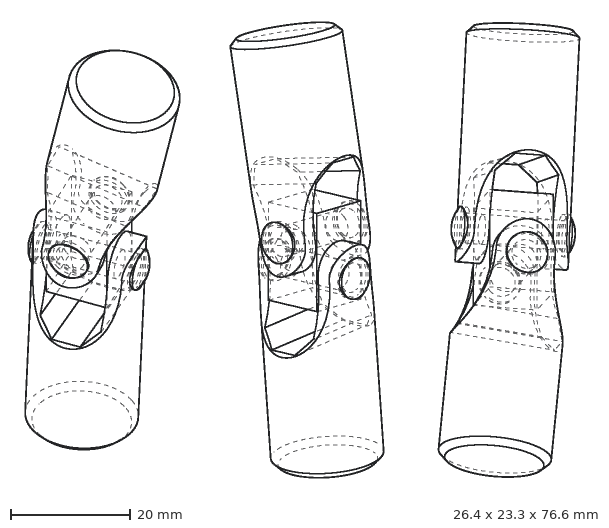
import cadquery as cq
import math


yoke_radius = 19.1 / 2
yoke_length = 34.3
end_chamfer = 1.15
arm_half_width = 5.1
arm_tip_offset = 0.7
shoulder_height = 12.95
slot_depth = 12.3
slot_corner = 2.9
upper_tilt = 11.1
lower_tilt = 5.5

block_width = 11.0
block_height = 17.1
pin_spacing = 6.35

head_radius = 7.1 / 2
head_seat = 8.4
head_rim = 9.35
pin_half_length = 21.2 / 2
shank_radius = 2.5

tip_end = arm_tip_offset + arm_half_width


def make_pin():
    """Pin along Y with a domed head at each end."""
    dome_rise = pin_half_length - head_rim
    dome_radius = (head_radius**2 + dome_rise**2) / (2 * dome_rise)
    half_angle = math.asin(head_radius / dome_radius) / 2
    dome_x = dome_radius * math.sin(half_angle)
    dome_y = pin_half_length - dome_radius * (1 - math.cos(half_angle))
    return (
        cq.Workplane("XY")
        .moveTo(0, -pin_half_length)
        .threePointArc((dome_x, -dome_y), (head_radius, -head_rim))
        .lineTo(head_radius, -head_seat)
        .lineTo(shank_radius, -head_seat)
        .lineTo(shank_radius, head_seat)
        .lineTo(head_radius, head_seat)
        .lineTo(head_radius, head_rim)
        .threePointArc((dome_x, dome_y), (0, pin_half_length))
        .close()
        .revolve(360, (0, 0, 0), (0, 1, 0))
    )


def make_pin_hole():
    """Pin-shaped cutter along Y whose head pockets run out through the surface."""
    hole = cq.Workplane("XZ").circle(shank_radius).extrude(pin_half_length, both=True)
    for side in (-1, 1):
        pocket = (
            cq.Workplane("XZ", origin=(0, side * head_seat, 0))
            .circle(head_radius)
            .extrude(-side * (pin_half_length - head_seat))
        )
        hole = hole.union(pocket)
    return hole


def make_arm_profile():
    """Side outline: round tip, short straight flanks, concave flares, full-width barrel."""
    flare_run = yoke_radius - arm_half_width
    flare_radius = (flare_run**2 + shoulder_height**2) / (2 * flare_run)
    half_angle = math.asin(shoulder_height / flare_radius) / 2
    flare_x = arm_half_width + flare_radius * (1 - math.cos(half_angle))
    flare_z = flare_radius * math.sin(half_angle)
    return (
        cq.Workplane("XZ")
        .moveTo(-arm_half_width, -arm_tip_offset)
        .threePointArc((0, -tip_end), (arm_half_width, -arm_tip_offset))
        .lineTo(arm_half_width, 0)
        .threePointArc((flare_x, flare_z), (yoke_radius, shoulder_height))
        .lineTo(yoke_radius, yoke_length)
        .lineTo(-yoke_radius, yoke_length)
        .lineTo(-yoke_radius, shoulder_height)
        .threePointArc((-flare_x, flare_z), (-arm_half_width, 0))
        .close()
        .extrude(yoke_radius, both=True)
    )


def make_slot():
    """Slot through X between the arms, with a chamfered floor."""
    half_width = block_width / 2
    floor_half = half_width - slot_corner
    return (
        cq.Workplane("YZ")
        .polyline([
            (-half_width, -tip_end),
            (half_width, -tip_end),
            (half_width, slot_depth - slot_corner),
            (floor_half, slot_depth),
            (-floor_half, slot_depth),
            (-half_width, slot_depth - slot_corner),
        ])
        .close()
        .extrude(yoke_radius, both=True)
    )


def make_yoke():
    """Forked yoke with its pin along Y."""
    barrel = (
        cq.Workplane("XY", origin=(0, 0, -tip_end))
        .circle(yoke_radius)
        .extrude(yoke_length + tip_end)
        .faces(">Z")
        .chamfer(end_chamfer)
    )
    return barrel.intersect(make_arm_profile()).cut(make_slot()).cut(make_pin_hole())


def place_upper(body, tilt):
    """Tilt about the upper pin axis, along Y, and move to it."""
    return body.rotate((0, 0, 0), (0, 1, 0), tilt).translate((0, 0, pin_spacing / 2))


def place_lower(body, tilt):
    """Turn the pin to X, point the yoke axis down, tilt about X and move to the lower pin."""
    turned = body.rotate((0, 0, 0), (0, 0, 1), 90)
    return turned.rotate((0, 0, 0), (1, 0, 0), 180 - tilt).translate((0, 0, -pin_spacing / 2))


def make_block():
    """Square block with a bore for the shank of each pin."""
    bore = cq.Workplane("XZ").circle(shank_radius).extrude(block_width, both=True)
    block = cq.Workplane("XY").box(block_width, block_width, block_height)
    return block.cut(place_upper(bore, 0)).cut(place_lower(bore, 0))


block = make_block()
joint_sides = [(place_upper, upper_tilt), (place_lower, lower_tilt)]
yokes = [place(make_yoke(), tilt) for place, tilt in joint_sides]
pins = [place(make_pin(), tilt) for place, tilt in joint_sides]

result = cq.Compound.makeCompound(
    [block.val()] + [yoke.val() for yoke in yokes] + [pin.val() for pin in pins]
)